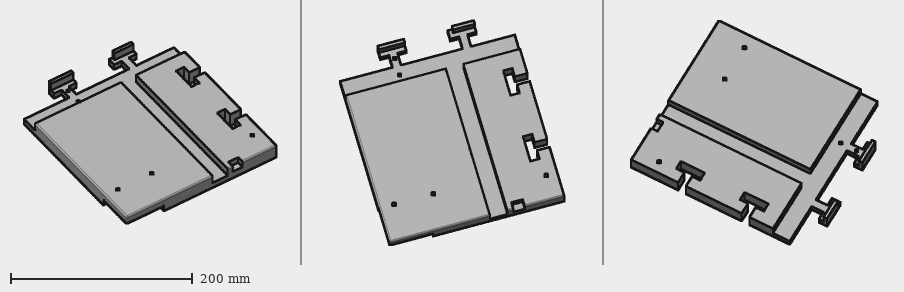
import cadquery as cq

PLATE_SIDE = 200.0
TOTAL_LENGTH = 225.0
TOTAL_HEIGHT = 18.0
BASE_HEIGHT = 7.6
EDGE_RADIUS = 1.8

DECK_LEFT = 21.2
CHANNEL_FRONT = 115.0
CHANNEL_WIDTH = 20.0

TAB_REACH = TOTAL_LENGTH - PLATE_SIDE
TEE_SPACING = 80.0
TEE_HEAD_LENGTH = 30.0
TEE_HEAD_WIDTH = 10.4
TEE_STEM_WIDTH = 9.7
LIP_THICKNESS = 4.5
FIRST_TAB_Y = 65.0
FIRST_SLOT_X = 55.5
SLOT_DEPTH = 24.8

NOTCH_LENGTH = 8.5
NOTCH_WIDTH = 12.8
NOTCH_FRONT = 142.0
NOTCH_FLOOR = 10.0

RECESS_LEFT = 154.8
RECESS_STEP_WIDTH = 6.0
RECESS_STEP_DEPTH = 65.0
RECESS_DEPTH = 50.0

PIN_HOLE_DIAMETER = 3.5
DECK_HOLE_DIAMETER = 4.0
TAB_HOLE_X = -9.5
BASE_HOLE_X = 10.5
BACK_HOLE = (171.5, 187.5)
RECESS_HOLE_X = 158.5
RECESS_HOLES_Y = (16.9, 61.9)


def box(x, y, z, length, width, height):
    """Box given by its lowest corner and its size."""
    return cq.Workplane("XY").box(length, width, height, centered=False).translate((x, y, z))


def tab(center_y):
    """T-shaped tab with an upright lip along its outer side."""
    head_front = center_y - TEE_HEAD_LENGTH / 2
    stem = box(-TAB_REACH, center_y - TEE_STEM_WIDTH / 2, 0, TAB_REACH, TEE_STEM_WIDTH, BASE_HEIGHT)
    head = box(-TAB_REACH, head_front, 0, TEE_HEAD_WIDTH, TEE_HEAD_LENGTH, BASE_HEIGHT)
    lip = box(-TAB_REACH, head_front, 0, LIP_THICKNESS, TEE_HEAD_LENGTH, TOTAL_HEIGHT)
    return stem.union(head).union(lip)


def slot(center_x):
    """T-slot cut through the full height from the back edge."""
    bottom_y = PLATE_SIDE - SLOT_DEPTH
    stem = box(center_x - TEE_STEM_WIDTH / 2, bottom_y, 0, TEE_STEM_WIDTH, SLOT_DEPTH, TOTAL_HEIGHT)
    head = box(center_x - TEE_HEAD_LENGTH / 2, bottom_y, 0, TEE_HEAD_LENGTH, TEE_HEAD_WIDTH, TOTAL_HEIGHT)
    return stem.union(head)


def hole(x, y, diameter):
    """Cylinder that pierces the full height."""
    return cq.Workplane("XY").center(x, y).circle(diameter / 2).extrude(TOTAL_HEIGHT)


deck_height = TOTAL_HEIGHT - BASE_HEIGHT
deck = box(DECK_LEFT, 0, BASE_HEIGHT, PLATE_SIDE - DECK_LEFT, PLATE_SIDE, deck_height)
deck = deck.edges("(>Z and >X) or (>Z and <Y) or (>X and <Y)").fillet(EDGE_RADIUS)
result = box(0, 0, 0, PLATE_SIDE, PLATE_SIDE, BASE_HEIGHT).union(deck)

for index in range(2):
    result = result.union(tab(FIRST_TAB_Y + index * TEE_SPACING))
    result = result.cut(slot(FIRST_SLOT_X + index * TEE_SPACING))

result = result.cut(
    box(-TAB_REACH, CHANNEL_FRONT, BASE_HEIGHT, TOTAL_LENGTH, CHANNEL_WIDTH, deck_height)
)

notch_height = TOTAL_HEIGHT - NOTCH_FLOOR
result = result.cut(
    box(PLATE_SIDE - NOTCH_LENGTH, NOTCH_FRONT, NOTCH_FLOOR, NOTCH_LENGTH, NOTCH_WIDTH, notch_height)
)

recess_length = PLATE_SIDE - RECESS_LEFT
result = result.cut(box(RECESS_LEFT, 0, 0, recess_length, RECESS_DEPTH, BASE_HEIGHT))
result = result.cut(box(RECESS_LEFT, 0, 0, RECESS_STEP_WIDTH, RECESS_STEP_DEPTH, BASE_HEIGHT))

for hole_x in (TAB_HOLE_X, BASE_HOLE_X):
    result = result.cut(hole(hole_x, FIRST_TAB_Y, PIN_HOLE_DIAMETER))
result = result.cut(hole(*BACK_HOLE, DECK_HOLE_DIAMETER))
for hole_y in RECESS_HOLES_Y:
    result = result.cut(hole(RECESS_HOLE_X, hole_y, DECK_HOLE_DIAMETER))